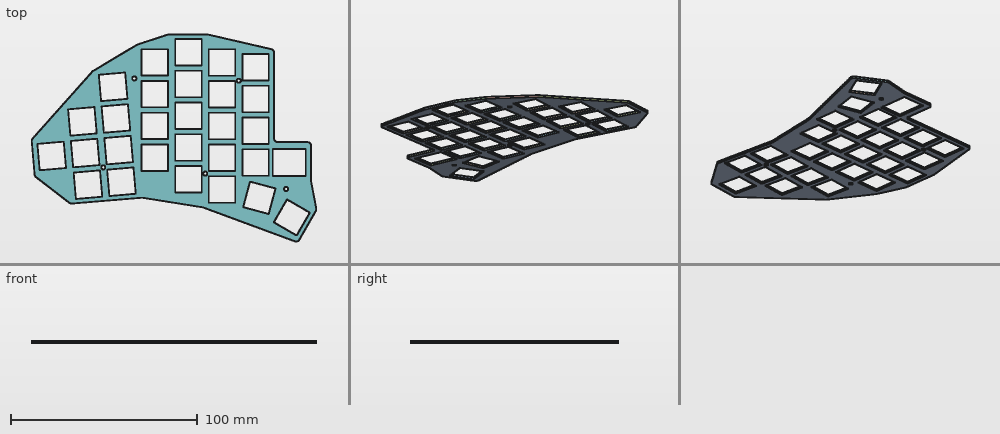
import cadquery as cq
import math


thickness = 1.2
corner_radius = 2.0

outline_corners = [
    (-76.2, -0.9),
    (-43.5, 35.8),
    (-19.7, 50.0),
    (-3.0, 55.5),
    (18.0, 55.5),
    (53.6, 47.2),
    (53.6, -2.1),
    (73.5, -2.1),
    (73.5, -23.2),
    (76.4, -38.4),
    (66.3, -56.0),
    (15.5, -37.2),
    (-16.9, -32.0),
    (-55.3, -35.2),
    (-74.5, -20.4),
]

key_size = 14.0
wide_key_width = 17.5
wide_key_height = 14.3
column_pitch = 18.0
five_key_span = 68.0
row_pitch = five_key_span / 4

first_column_x = -10.2
upright_columns = [(-10.5, 4), (-22.1, 5), (-27.6, 5), (-13.1, 4)]

wide_key_x = 61.7
wide_key_y = upright_columns[-1][0]

tilt = 5
tilted_origin = (-65.4, -9.6)
tilted_columns = [(0, 1), (-1, 3), (-1, 4)]

thumb_keys = [(45.7, -32.0, -15), (63.1, -42.5, -30)]

screw_diameter = 2.1
screw_centres = [(-21.2, 31.9), (34.7, 30.6), (-37.8, -15.7), (16.8, -19.0), (60.0, -27.3)]


def make_sheet():
    """Flat sheet with every corner of its outline rounded."""
    sheet = cq.Workplane("XY").polyline(outline_corners).close().extrude(thickness)
    return sheet.edges("|Z").fillet(corner_radius)


def key_cutter(x, y, angle=0, width=key_size, height=key_size):
    """Block that opens one switch cutout through the sheet."""
    cutter = cq.Workplane("XY").rect(width, height).extrude(thickness)
    return cutter.rotate((0, 0, 0), (0, 0, 1), angle).translate((x, y, 0))


def upright_keys():
    """Centre and angle of each key in the upright columns."""
    keys = []
    for column, (lowest_y, count) in enumerate(upright_columns):
        x = first_column_x + column * column_pitch
        for row in range(count):
            keys.append((x, lowest_y + row * row_pitch, 0))
    return keys


def tilted_keys():
    """Centre and angle of each key on the tilted grid."""
    cosine = math.cos(math.radians(tilt))
    sine = math.sin(math.radians(tilt))
    keys = []
    for column, (lowest_row, count) in enumerate(tilted_columns):
        along = column * column_pitch
        for row in range(lowest_row, lowest_row + count):
            up = row * row_pitch
            x = tilted_origin[0] + along * cosine - up * sine
            y = tilted_origin[1] + along * sine + up * cosine
            keys.append((x, y, tilt))
    return keys


result = make_sheet()
for key_x, key_y, key_angle in upright_keys() + tilted_keys() + thumb_keys:
    result = result.cut(key_cutter(key_x, key_y, key_angle))
wide_cutter = key_cutter(wide_key_x, wide_key_y, width=wide_key_width, height=wide_key_height)
result = result.cut(wide_cutter)

screws = cq.Workplane("XY").pushPoints(screw_centres).circle(screw_diameter / 2).extrude(thickness)
result = result.cut(screws)